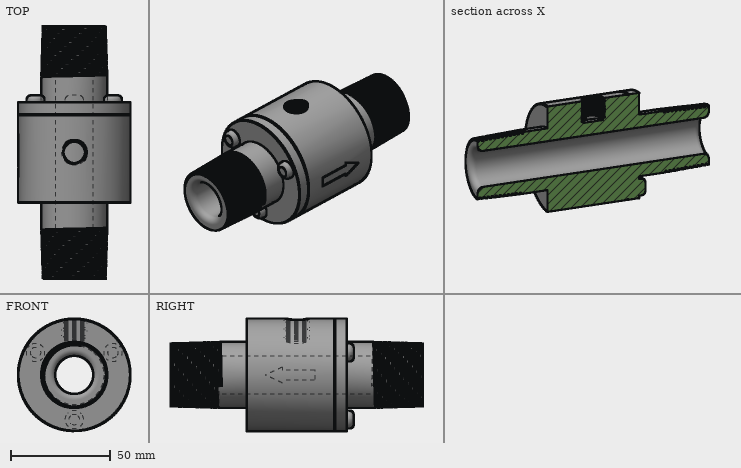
import math

import cadquery as cq


overall_length = 127.26
body_dia = 56.79
body_length = 50.8
flange_thickness = 6.35
edge_chamfer = 0.38

bore_dia = 19.05
mouth_radius = 3.175

neck_dia = 33.4
thread_length = 25.4
pipe_pitch = 25.4 / 11.5
pipe_taper = 1 / 16
pipe_groove_depth = 1.0
pipe_thread_turn = 200

port_dia = 10.7
port_depth = 12.7
port_pitch = 25.4 / 18
port_groove_depth = 1.0
port_thread_turn = 200

screw_count = 3
screw_circle_radius = 22.5
screw_first_angle = -90
head_dia = 9.2
head_height = 3.35
head_rim_height = 0.7
head_top_dia = 5.3

arrow_depth = 0.4
arrow_tail_y = 9.1
arrow_shoulder_y = -7.1
arrow_tip_y = -15.8
shaft_half_width = 2.54
arrowhead_half_width = 4.06

half_length = overall_length / 2
half_body = body_length / 2
body_radius = body_dia / 2
seam_y = half_body - flange_thickness
thread_start_y = half_length - thread_length
thread_end_radius = (neck_dia - thread_length * pipe_taper) / 2

THREAD_HALF_ANGLE = math.radians(30)
GROOVE_OVERLAP = 0.2
ARC_MIDDLE = math.sqrt(0.5)
CYLINDER = 360


def disc_along_y(y_start, y_end):
    """Chamfered cylinder of the body diameter between two Y places."""
    plane = cq.Plane(origin=(0, y_start, 0), xDir=(1, 0, 0), normal=(0, 1, 0))
    disc = cq.Workplane(plane).circle(body_radius).extrude(y_end - y_start)
    return disc.edges().chamfer(edge_chamfer)


def helical_groove(pitch, length, crest_radius, depth, cone_angle=CYLINDER):
    """V groove cutter along +Z; a negative depth points the V outward."""
    helix = cq.Wire.makeHelix(pitch, length, crest_radius, angle=cone_angle)
    overlap = math.copysign(GROOVE_OVERLAP, depth)
    half_width = abs(depth + overlap) * math.tan(THREAD_HALF_ANGLE)
    profile = (
        cq.Workplane("XZ", origin=(crest_radius, 0, 0))
        .moveTo(overlap, -half_width)
        .lineTo(overlap, half_width)
        .lineTo(-depth, 0)
        .close()
    )
    return profile.sweep(cq.Workplane(obj=helix), isFrenet=True)


def pipe_core():
    """Necks and conical thread blanks as one turned piece."""
    return (
        cq.Workplane("XY")
        .moveTo(0, -half_length)
        .lineTo(thread_end_radius, -half_length)
        .lineTo(neck_dia / 2, -thread_start_y)
        .lineTo(neck_dia / 2, thread_start_y)
        .lineTo(thread_end_radius, half_length)
        .lineTo(0, half_length)
        .close()
        .revolve(360, (0, 0, 0), (0, 1, 0))
    )


def pipe_thread_cutter():
    """Tapered groove for the -Y end, entering one pitch outside the end face."""
    lead_in = pipe_pitch
    entry_radius = thread_end_radius - lead_in * pipe_taper / 2
    groove = helical_groove(
        pipe_pitch,
        thread_length + lead_in,
        entry_radius,
        pipe_groove_depth,
        math.degrees(math.atan(pipe_taper / 2)),
    )
    along_y = groove.rotate((0, 0, 0), (1, 0, 0), -90)
    turned = along_y.rotate((0, 0, 0), (0, 1, 0), pipe_thread_turn)
    return turned.translate((0, -half_length - lead_in, 0))


def bore_cutter():
    """Straight bore with a rounded mouth at each end."""
    bore_radius = bore_dia / 2
    mouth_outer = bore_radius + mouth_radius
    mouth_depth_y = half_length - mouth_radius
    corner = mouth_radius * (1 - ARC_MIDDLE)
    arc_mid = (bore_radius + corner, half_length - corner)
    return (
        cq.Workplane("XY")
        .moveTo(0, -half_length)
        .lineTo(mouth_outer, -half_length)
        .threePointArc((arc_mid[0], -arc_mid[1]), (bore_radius, -mouth_depth_y))
        .lineTo(bore_radius, mouth_depth_y)
        .threePointArc(arc_mid, (mouth_outer, half_length))
        .lineTo(0, half_length)
        .close()
        .revolve(360, (0, 0, 0), (0, 1, 0))
    )


def port_cutter():
    """Blind hole down from the top of the body, with its internal thread."""
    floor_z = body_radius - port_depth
    hole = cq.Workplane("XY", origin=(0, 0, floor_z)).circle(port_dia / 2).extrude(2 * port_depth)
    thread = helical_groove(port_pitch, port_depth, port_dia / 2, -port_groove_depth)
    thread = thread.rotate((0, 0, 0), (0, 0, 1), port_thread_turn)
    return hole.union(thread.translate((0, 0, floor_z + port_pitch)))


def screw_head():
    """Domed head standing on the flange face, on the Y axis."""
    head_radius = head_dia / 2
    top_radius = head_top_dia / 2
    dome_height = head_height - head_rim_height
    dome_width = head_radius - top_radius
    arc_mid = (
        top_radius + dome_width * ARC_MIDDLE,
        half_body + head_rim_height + dome_height * ARC_MIDDLE,
    )
    return (
        cq.Workplane("XY")
        .moveTo(0, seam_y)
        .lineTo(head_radius, seam_y)
        .lineTo(head_radius, half_body + head_rim_height)
        .threePointArc(arc_mid, (top_radius, half_body + head_height))
        .lineTo(0, half_body + head_height)
        .close()
        .revolve(360, (0, 0, 0), (0, 1, 0))
    )


def arrow_cutter():
    """Flat-floored arrow cut into the -X side."""
    outline = [
        (arrow_tail_y, shaft_half_width),
        (arrow_shoulder_y, shaft_half_width),
        (arrow_shoulder_y, arrowhead_half_width),
        (arrow_tip_y, 0),
        (arrow_shoulder_y, -arrowhead_half_width),
        (arrow_shoulder_y, -shaft_half_width),
        (arrow_tail_y, -shaft_half_width),
    ]
    plane = cq.Plane(origin=(-body_radius, 0, 0), xDir=(0, 1, 0), normal=(1, 0, 0))
    return cq.Workplane(plane).polyline(outline).close().extrude(arrow_depth)


pipe_groove = pipe_thread_cutter()
pipe = pipe_core()
for turn in (0, 180):
    pipe = pipe.cut(pipe_groove.rotate((0, 0, 0), (0, 0, 1), turn))

body = disc_along_y(-half_body, seam_y).union(disc_along_y(seam_y, half_body))
for index in range(screw_count):
    angle = math.radians(screw_first_angle + index * 360 / screw_count)
    offset = (screw_circle_radius * math.cos(angle), 0, screw_circle_radius * math.sin(angle))
    body = body.union(screw_head().translate(offset))

body = body.cut(port_cutter()).cut(arrow_cutter())

result = body.union(pipe).cut(bore_cutter())